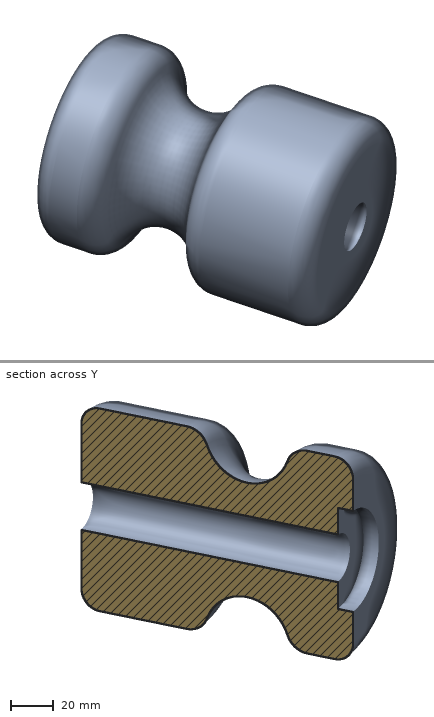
import cadquery as cq
import math

length = 144.0
outer_diameter = 103.0
outer_radius = outer_diameter / 2
end_round = 10.0

groove_center_x = 56.2
groove_bottom_radius = 29.1
groove_arc_radius = 22.5
lip_round = 11.5

bore_diameter = 23.9
recess_diameter = 51.0
recess_depth = 8.0

groove_arc_center_r = groove_bottom_radius + groove_arc_radius
lip_center_r = outer_radius - lip_round
center_distance = groove_arc_radius + lip_round
center_rise = groove_arc_center_r - lip_center_r
lip_offset = math.sqrt(center_distance**2 - center_rise**2)
tangent_share = groove_arc_radius / center_distance
tangent_offset = lip_offset * tangent_share
tangent_r = groove_arc_center_r - center_rise * tangent_share


def lip_middle(side):
    """Point halfway along the lip arc; side is -1 or +1 along X from the groove."""
    half_angle = math.atan2(lip_offset, center_rise) / 2
    x = groove_center_x + side * (lip_offset - lip_round * math.sin(half_angle))
    return x, lip_center_r + lip_round * math.cos(half_angle)


def make_body():
    """Revolve the half profile, drawn as (x, radius), about the X axis."""
    corner_middle = end_round * (1 - math.sqrt(0.5))
    flat_radius = outer_radius - end_round
    return (
        cq.Workplane("XY")
        .moveTo(0, 0)
        .lineTo(0, flat_radius)
        .threePointArc((corner_middle, outer_radius - corner_middle), (end_round, outer_radius))
        .lineTo(groove_center_x - lip_offset, outer_radius)
        .threePointArc(lip_middle(-1), (groove_center_x - tangent_offset, tangent_r))
        .threePointArc(
            (groove_center_x, groove_bottom_radius),
            (groove_center_x + tangent_offset, tangent_r),
        )
        .threePointArc(lip_middle(1), (groove_center_x + lip_offset, outer_radius))
        .lineTo(length - end_round, outer_radius)
        .threePointArc((length - corner_middle, outer_radius - corner_middle), (length, flat_radius))
        .lineTo(length, 0)
        .close()
        .revolve(360, (0, 0, 0), (1, 0, 0))
    )


def make_hole(diameter, depth):
    """Cylinder on the axis, running from the -X face into the body."""
    return cq.Workplane("YZ").circle(diameter / 2).extrude(depth)


bore = make_hole(bore_diameter, length)
recess = make_hole(recess_diameter, recess_depth)
result = make_body().cut(bore).cut(recess)